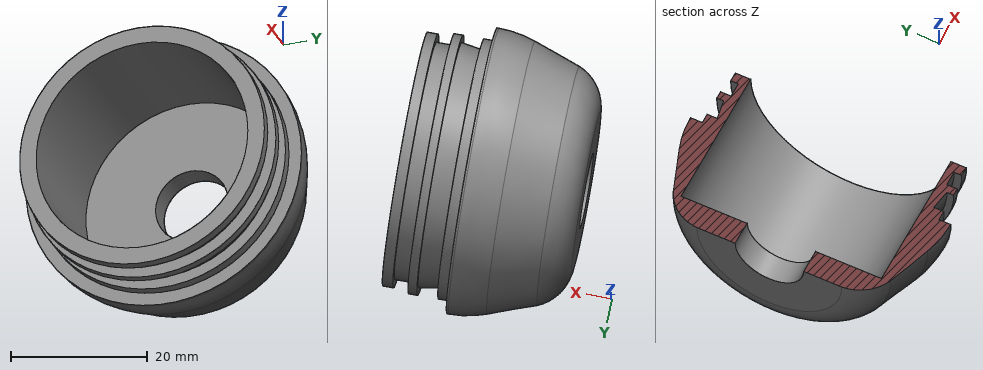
import cadquery as cq

total_length = 26.98
max_radius = 21.28
bore_radius = 5.57

front_wall = 4.0
cavity_radius = 16.35

face_radius = 11.85
nose_length = 4.15
nose_radius = 17.8
nose_mid_x = 1.25
nose_mid_radius = 15.4
taper_end_x = 11.2
taper_end_radius = 20.3
bulge_mid_x = 13.87
bulge_mid_radius = 21.0
rim_start_x = 16.7
body_length = 17.0

collar_radius = 19.35
shoulder_end_x = 18.65
ring_start_x = 21.75
ring_end_x = 23.05
cone_start_radius = 17.75
cone_end_radius = 18.25
groove_radius = 17.65
end_flange_radius = 18.9
end_flange_width = 1.57
end_flange_x = total_length - end_flange_width


def add_dome(outline):
    """Rounded nose, straight taper and bulge up to the cylindrical rim."""
    return (
        outline.lineTo(0, face_radius)
        .threePointArc((nose_mid_x, nose_mid_radius), (nose_length, nose_radius))
        .lineTo(taper_end_x, taper_end_radius)
        .threePointArc((bulge_mid_x, bulge_mid_radius), (rim_start_x, max_radius))
        .lineTo(body_length, max_radius)
    )


def add_neck(outline):
    """Shoulder, tapered groove, ring, straight groove and end flange."""
    return (
        outline.lineTo(body_length, collar_radius)
        .lineTo(shoulder_end_x, collar_radius)
        .lineTo(shoulder_end_x, cone_start_radius)
        .lineTo(ring_start_x, cone_end_radius)
        .lineTo(ring_start_x, collar_radius)
        .lineTo(ring_end_x, collar_radius)
        .lineTo(ring_end_x, groove_radius)
        .lineTo(end_flange_x, groove_radius)
        .lineTo(end_flange_x, end_flange_radius)
        .lineTo(total_length, end_flange_radius)
    )


half_section = cq.Workplane("XY").moveTo(0, bore_radius)
half_section = add_neck(add_dome(half_section))
half_section = (
    half_section.lineTo(total_length, cavity_radius)
    .lineTo(front_wall, cavity_radius)
    .lineTo(front_wall, bore_radius)
    .close()
)

result = half_section.revolve(360, (0, 0, 0), (1, 0, 0))